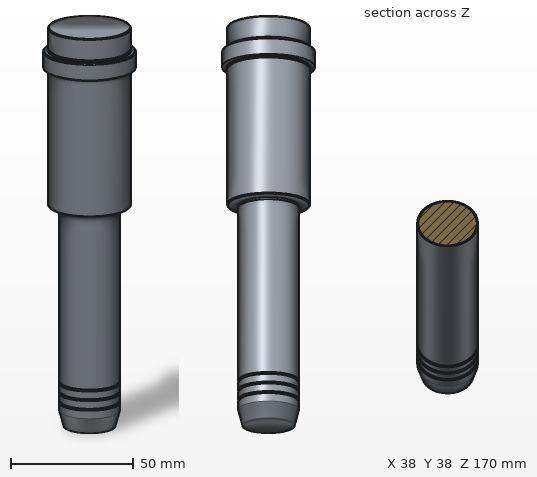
import cadquery as cq
import math

length = 170.0
collar_top = 160.0
collar_bottom = 153.0
body_bottom = 94.0
neck_bottom = 93.0
taper_top = 7.0

collar_diameter = 38.0
body_diameter = 34.0
shaft_diameter = 25.0
neck_diameter = 24.0

edge_chamfer = 0.5
taper_angle = 15.0
tip_fillet = 0.5

relief_width = 1.0
relief_depth = 0.5

groove_floor = 0.5

ring_groove_count = 3
ring_groove_width = 1.0
ring_groove_depth = 0.5
ring_groove_pitch = 4.0
lowest_ring_groove = 10.7


def cylinder(diameter, bottom, top):
    """Solid cylinder on the Z axis between two heights."""
    return cq.Workplane("XY").workplane(offset=bottom).circle(diameter / 2).extrude(top - bottom)


def groove(diameter, depth, bottom, width):
    """Ring of trapezoidal section to cut from a cylinder of the given diameter."""
    radius = diameter / 2
    slope = (width - groove_floor) / 2
    profile = [
        (radius, bottom),
        (radius - depth, bottom + slope),
        (radius - depth, bottom + width - slope),
        (radius, bottom + width),
    ]
    return cq.Workplane("XZ").polyline(profile).close().revolve(360, (0, 0), (0, 1))


def make_tip():
    """Tapered end of the shaft with a rounded bottom edge."""
    shaft_radius = shaft_diameter / 2
    tip_radius = shaft_radius - taper_top * math.tan(math.radians(taper_angle))
    profile = [(0, 0), (tip_radius, 0), (shaft_radius, taper_top), (0, taper_top)]
    tip = cq.Workplane("XZ").polyline(profile).close().revolve(360, (0, 0), (0, 1))
    return tip.faces("<Z").edges().fillet(tip_fillet)


def make_shaft():
    """Slender shaft with its ring grooves."""
    shaft = cylinder(shaft_diameter, taper_top, neck_bottom)
    for index in range(ring_groove_count):
        bottom = lowest_ring_groove + index * ring_groove_pitch - ring_groove_width / 2
        shaft = shaft.cut(groove(shaft_diameter, ring_groove_depth, bottom, ring_groove_width))
    return shaft


def make_body():
    """Thick upper body with a relief groove on each side of the collar."""
    body = cylinder(body_diameter, body_bottom, length)
    body = body.edges("%CIRCLE").chamfer(edge_chamfer)
    for bottom in (collar_bottom - relief_width, collar_top):
        body = body.cut(groove(body_diameter, relief_depth, bottom, relief_width))
    return body


def make_collar():
    """Locating collar with a chamfered upper edge."""
    collar = cylinder(collar_diameter, collar_bottom, collar_top)
    return collar.faces(">Z").edges().chamfer(edge_chamfer)


neck = cylinder(neck_diameter, neck_bottom, body_bottom)

result = make_tip().union(make_shaft()).union(neck).union(make_body()).union(make_collar())